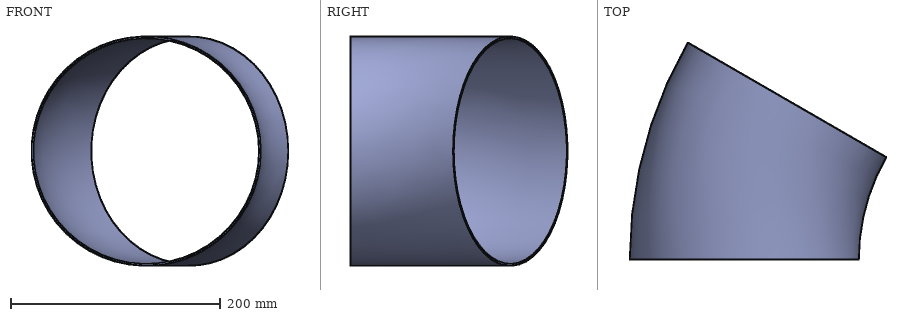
import cadquery as cq
import math

overall_length = 245.3
bend_angle = 30.0
bend_radius = 305.1
wall = 2.0

bend_cosine = math.cos(math.radians(bend_angle))
outer_radius = (overall_length - bend_radius * (1 - bend_cosine)) / (1 + bend_cosine)
inner_radius = outer_radius - wall


def make_elbow():
    """Revolve the pipe section from the XZ plane toward +Y, curving to +X."""
    section = cq.Workplane("XZ").circle(outer_radius).circle(inner_radius)
    axis_start = (bend_radius, 0)
    axis_end = (bend_radius, -1)
    return section.revolve(bend_angle, axis_start, axis_end)


result = make_elbow()